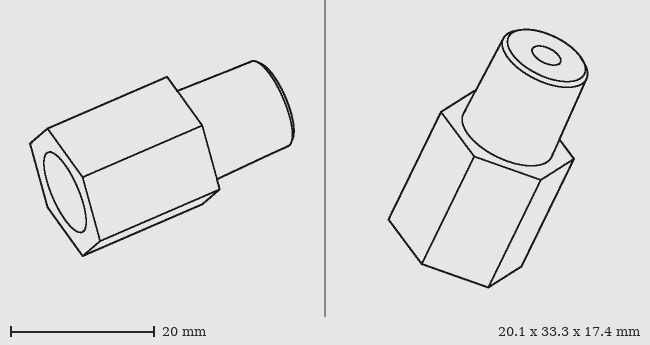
import cadquery as cq
import math

total_length = 33.27
hex_across_flats = 17.4
hex_length = 19.1
hex_across_corners = hex_across_flats / math.cos(math.pi / 6)

spigot_base_radius = 6.85
spigot_end_radius = 6.45
spigot_chamfer = 0.55

socket_mouth_radius = 6.05
socket_radius = 5.55
lead_in_depth = 2.35
socket_depth = 13.3
bore_radius = 2.15


def revolve_profile(points):
    """Revolve (radius, y) points around the Y axis."""
    return cq.Workplane("XY").polyline(points).close().revolve(360, (0, 0, 0), (0, 1, 0))


def make_hexagon():
    return cq.Workplane("XZ").polygon(6, hex_across_corners).extrude(-hex_length)


def make_spigot():
    return revolve_profile([
        (0, hex_length),
        (spigot_base_radius, hex_length),
        (spigot_end_radius, total_length - spigot_chamfer),
        (spigot_end_radius - spigot_chamfer, total_length),
        (0, total_length),
    ])


def make_passage():
    return revolve_profile([
        (0, 0),
        (socket_mouth_radius, 0),
        (socket_radius, lead_in_depth),
        (socket_radius, socket_depth),
        (bore_radius, socket_depth),
        (bore_radius, total_length),
        (0, total_length),
    ])


result = make_hexagon().union(make_spigot()).cut(make_passage())